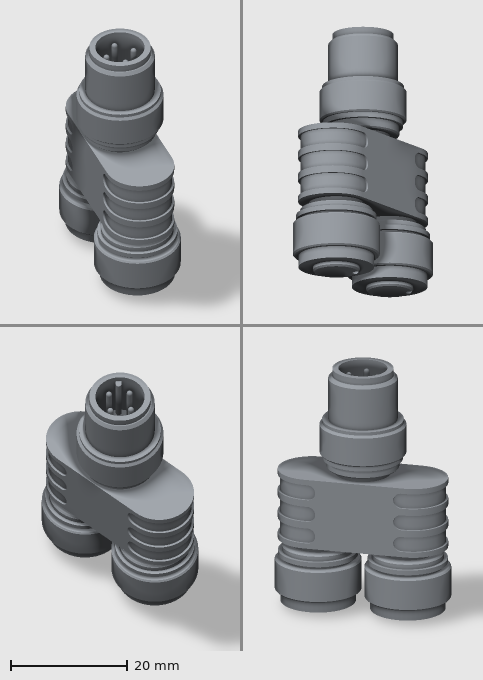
import cadquery as cq
import math


total_height = 44.1
collar_radius = 7.5
neck_radius = 4.7
nut_radius = 6.25
nut_chamfer = 0.25
ring_radius = 6.92
collar_chamfer = 0.25
contact_offset = 2.5

block_length = 30.0
block_width = 12.0
block_bottom = 12.25
block_top = 24.87
block_height = block_top - block_bottom
block_end_offset = (block_length - block_width) / 2

groove_depth = 0.4
groove_height = 2.75
groove_pitch = 3.95
groove_count = 3
groove_inner_end = 6.95

pin_nut_bottom = 25.95
pin_ring_bottom = 27.6
pin_collar_bottom = 28.55
pin_collar_shoulder = 33.85
pin_collar_lip_bottom = 34.25
pin_collar_top = 34.85
pin_collar_lip_radius = 7.05
sleeve_radius = 6.0
sleeve_shoulder = 42.35
sleeve_lip_bottom = 42.85
sleeve_cone_radius = 5.5
sleeve_lip_radius = 5.3
bore_radius = 4.25
bore_depth = 9.0
bore_floor = total_height - bore_depth
pin_diameter = 1.0
pin_count = 4
pin_recess = 1.0
key_width = 1.0

socket_spacing = 15.95
socket_nut_top = 11.25
socket_ring_top = 10.15
socket_ring_bottom = 9.3
socket_collar_top = 8.75
socket_collar_bottom = 2.85
socket_sleeve_radius = 6.53
socket_sleeve_bottom = 0.85
insert_radius = 4.05
insert_chamfer = 0.3
keyway_diameter = 1.5


def turned(profile):
    """Solid of revolution about Z from (radius, height) points, bottom to top."""
    bottom = profile[0][1]
    top = profile[-1][1]
    outline = [(0, bottom)] + profile + [(0, top)]
    return cq.Workplane("XZ").polyline(outline).close().revolve(360, (0, 0, 0), (0, 1, 0))


def rod(radius, bottom, top, x=0.0, y=0.0):
    """Upright cylinder between two heights."""
    return cq.Workplane("XY", origin=(x, y, bottom)).circle(radius).extrude(top - bottom)


def block_outline(inset, bottom, height):
    """Slab with half-round ends, drawn in by the given inset all round."""
    length = block_length - 2 * inset
    width = block_width - 2 * inset
    return cq.Workplane("XY", origin=(0, 0, bottom)).slot2D(length, width).extrude(height)


def groove_window(side, height):
    """Bar along Y whose inner end is round; limits one groove at one block end."""
    end_radius = groove_height / 2
    round_centre = groove_inner_end + end_radius
    bar_length = block_length / 2 - round_centre
    bar = cq.Workplane("XY").box(bar_length, block_width, groove_height)
    bar = bar.translate((side * (round_centre + bar_length / 2), 0, height))
    end = cq.Workplane("XZ", origin=(side * round_centre, 0, height))
    return bar.union(end.circle(end_radius).extrude(block_width / 2, both=True))


def grooved_block():
    block = block_outline(0, block_bottom, block_height)
    skin = block.cut(block_outline(groove_depth, block_bottom, block_height))
    middle = (block_bottom + block_top) / 2
    for index in range(groove_count):
        height = middle + (index - (groove_count - 1) / 2) * groove_pitch
        for side in (-1, 1):
            block = block.cut(skin.intersect(groove_window(side, height)))
    return block


def contact_pin(angle):
    """Round-ended pin standing on the bore floor."""
    x = contact_offset * math.cos(angle)
    y = contact_offset * math.sin(angle)
    radius = pin_diameter / 2
    dome_base = total_height - pin_recess - radius
    dome = cq.Workplane("XY").sphere(radius).translate((x, y, dome_base))
    return rod(radius, bore_floor, dome_base, x, y).union(dome)


def coding_key():
    """Round-nosed rib on the bore wall, towards +X -Y."""
    key_top = total_height - pin_recess
    nose_distance = contact_offset * math.sqrt(2)
    wall_distance = (bore_radius + sleeve_lip_radius) / 2
    rib_length = wall_distance - nose_distance
    rib = cq.Workplane("XY", origin=(0, 0, bore_floor))
    rib = rib.center(nose_distance + rib_length / 2, 0).rect(rib_length, key_width)
    rib = rib.extrude(key_top - bore_floor)
    rib = rib.union(rod(key_width / 2, bore_floor, key_top, nose_distance))
    return rib.rotate((0, 0, 0), (0, 0, 1), -45)


def pin_connector():
    body = turned([
        (neck_radius, block_top),
        (neck_radius, pin_nut_bottom),
        (nut_radius - nut_chamfer, pin_nut_bottom),
        (nut_radius, pin_nut_bottom + nut_chamfer),
        (nut_radius, pin_ring_bottom),
        (ring_radius, pin_ring_bottom),
        (ring_radius, pin_collar_bottom),
        (collar_radius - collar_chamfer, pin_collar_bottom),
        (collar_radius, pin_collar_bottom + collar_chamfer),
        (collar_radius, pin_collar_shoulder),
        (pin_collar_lip_radius, pin_collar_lip_bottom),
        (pin_collar_lip_radius, pin_collar_top),
        (sleeve_radius, pin_collar_top),
        (sleeve_radius, sleeve_shoulder),
        (sleeve_cone_radius, sleeve_lip_bottom),
        (sleeve_lip_radius, sleeve_lip_bottom),
        (sleeve_lip_radius, total_height),
    ])
    body = body.cut(rod(bore_radius, bore_floor, total_height))
    for index in range(pin_count):
        body = body.union(contact_pin(index * 2 * math.pi / pin_count))
    return body.union(coding_key())


def socket_connector():
    body = turned([
        (insert_radius - insert_chamfer, 0),
        (insert_radius, insert_chamfer),
        (insert_radius, socket_sleeve_bottom),
        (socket_sleeve_radius, socket_sleeve_bottom),
        (socket_sleeve_radius, socket_collar_bottom),
        (collar_radius - collar_chamfer, socket_collar_bottom),
        (collar_radius, socket_collar_bottom + collar_chamfer),
        (collar_radius, socket_collar_top - collar_chamfer),
        (collar_radius - collar_chamfer, socket_collar_top),
        (nut_radius, socket_collar_top),
        (nut_radius, socket_ring_bottom),
        (ring_radius, socket_ring_bottom),
        (ring_radius, socket_ring_top),
        (nut_radius, socket_ring_top),
        (nut_radius, socket_nut_top - nut_chamfer),
        (nut_radius - nut_chamfer, socket_nut_top),
        (neck_radius, socket_nut_top),
        (neck_radius, block_bottom),
    ])
    return body.cut(rod(keyway_diameter / 2, 0, socket_sleeve_bottom, -contact_offset, contact_offset))


result = grooved_block().union(pin_connector())
for side in (-1, 1):
    result = result.union(socket_connector().translate((side * socket_spacing / 2, 0, 0)))